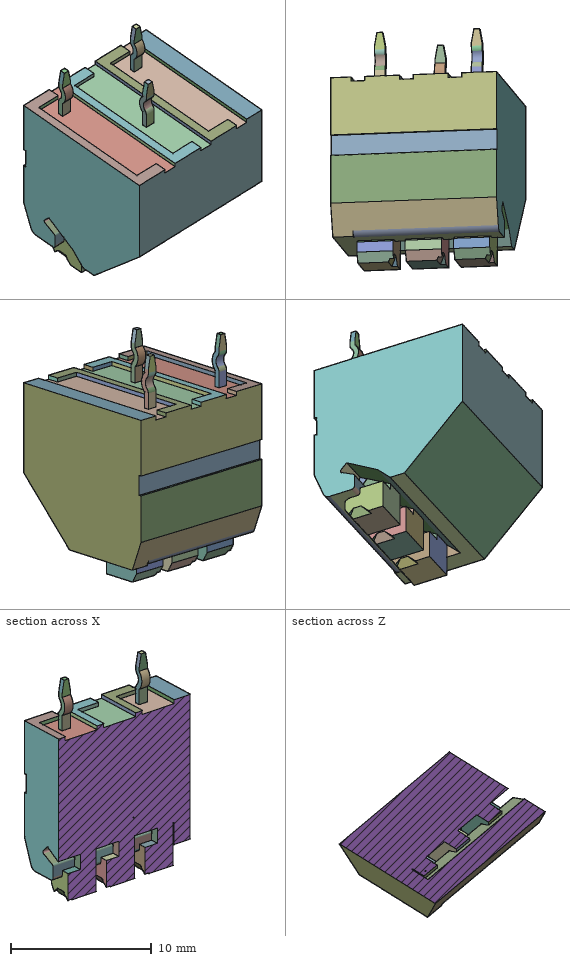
import cadquery as cq
import math


pole_count = 3
pole_pitch = 3.5
housing_width = 12.0
housing_length = 12.0
housing_height = 11.44
poles_length = pole_count * pole_pitch
corner_bevel_x = 0.89
corner_bevel_z = 2.29
corner_round = 0.58
side_bevel = 4.7
band_top = -4.18
band_bottom = -5.66
band_depth = 0.2

recess_depth = 0.3
recess_front_rim = 0.63
recess_side_rim = 0.92
recess_opening = 0.99

pin_height = 3.64
pin_thickness = 0.4
pin_width = 0.77
pin_tip_width = 0.4
pin_taper_height = 1.0
pin_y = 1.82
left_pin_x = 2.12
right_pin_x = 7.5
bend_z = 1.62
bend_outer_radius = 1.0
bend_inner_radius = bend_outer_radius - pin_thickness
bend_blend_radius = 0.5
bend_center_offset = 0.3

wall_x = 3.27
slot_floor_corner = (wall_x, -10.2)
slot_tip = (2.04, -9.59)
slot_peak = (2.64, -8.97)
slot_knee = (5.15, -10.42)
slot_mouth_x = slot_knee[0] + (slot_knee[1] + housing_height)
slot_heel_round = 0.25
slot_corner_round = 0.17
slot_tip_round = 0.15

clip_width = 2.6
clip_y = 0.85
clip_right_x = 5.11
clip_shoulder_z = -10.85
clip_hook_x = 2.04
clip_hook_z = -11.6
clip_hook_slope_x = 0.35
clip_drop = 1.62
clip_toe_x = 0.42
clip_toe_z = 0.72
clip_bottom_z = -housing_height - clip_drop

arm_setback = 1.12
arm_end_low = (2.72, -9.92)
arm_end_high = (3.19, -9.34)
nose_x = 2.54
nose_lean = 0.07

notch_height = 0.62
notch_top_left_x = 2.74
notch_top_width = 0.6
notch_depth = 0.4

overshoot = 0.84


def prism(points, y_start, y_end):
    """Closed XZ outline swept along Y."""
    outline = cq.Workplane("XZ", origin=(0, y_start, 0)).polyline(points).close()
    return outline.extrude(y_start - y_end)


def block(x_start, x_end, y_start, y_end, z_start, z_end):
    size = (x_end - x_start, y_end - y_start, z_end - z_start)
    return cq.Workplane("XY").box(*size, centered=False).translate((x_start, y_start, z_start))


def housing_section(y_start, y_end):
    bottom = -housing_height
    outline = [
        (0, 0),
        (housing_width, 0),
        (housing_width, bottom + side_bevel),
        (housing_width - side_bevel, bottom),
        (corner_bevel_x, bottom),
        (0, bottom + corner_bevel_z),
        (0, band_bottom),
        (band_depth, band_bottom),
        (band_depth, band_top),
        (0, band_top),
    ]
    return prism(outline, y_start, y_end)


slot_outline = [
    (wall_x, -housing_height),
    slot_floor_corner,
    slot_tip,
    slot_peak,
    slot_knee,
    (slot_mouth_x, -housing_height),
]


def slotted_housing():
    """Pole section with the rounded slot, closed by the plain end plate."""
    poles = housing_section(0, poles_length).cut(prism(slot_outline, 0, poles_length))

    def round_edge(body, point, radius):
        edge = cq.selectors.NearestToPointSelector((point[0], poles_length / 2, point[1]))
        return body.edges("|Y").edges(edge).fillet(radius)

    poles = round_edge(poles, (corner_bevel_x, -housing_height), corner_round)
    poles = round_edge(poles, (wall_x, -housing_height), slot_heel_round)
    poles = round_edge(poles, slot_floor_corner, slot_corner_round)
    poles = round_edge(poles, slot_tip, slot_tip_round)
    return poles.union(housing_section(poles_length, housing_length))


def top_recess():
    """Shallow recess of one pole, open to both sides along its rear edge."""
    inner = block(recess_side_rim, housing_width - recess_side_rim,
                  recess_front_rim, pole_pitch, -recess_depth, overshoot)
    opening = block(-overshoot, housing_width + overshoot,
                    pole_pitch - recess_opening, pole_pitch, -recess_depth, overshoot)
    return inner.union(opening)


def solder_pin():
    """Pin with its back face at X = 0, bulging towards +X, centred on Y = 0."""
    centers_distance = bend_inner_radius + bend_blend_radius
    blend_center_x = bend_blend_radius
    blend_dx = blend_center_x + bend_center_offset
    blend_dz = math.sqrt(centers_distance**2 - blend_dx**2)
    contact_ratio = bend_inner_radius / centers_distance
    contact_x = contact_ratio * blend_dx - bend_center_offset
    contact_dz = contact_ratio * blend_dz
    inner_apex_x = bend_inner_radius - bend_center_offset
    outer_apex_x = bend_outer_radius - bend_center_offset
    outer_dz = math.sqrt(bend_outer_radius**2 - (pin_thickness + bend_center_offset)**2)

    half_angle = math.atan2(blend_dz, blend_dx) / 2
    blend_x = blend_center_x - bend_blend_radius * math.cos(half_angle)
    blend_mid_dz = blend_dz - bend_blend_radius * math.sin(half_angle)

    strip = (
        cq.Workplane("XZ", origin=(0, pin_width / 2, 0))
        .moveTo(0, -recess_depth)
        .lineTo(0, bend_z - blend_dz)
        .threePointArc((blend_x, bend_z - blend_mid_dz), (contact_x, bend_z - contact_dz))
        .threePointArc((inner_apex_x, bend_z), (contact_x, bend_z + contact_dz))
        .threePointArc((blend_x, bend_z + blend_mid_dz), (0, bend_z + blend_dz))
        .lineTo(0, pin_height)
        .lineTo(pin_thickness, pin_height)
        .lineTo(pin_thickness, bend_z + outer_dz)
        .threePointArc((outer_apex_x, bend_z), (pin_thickness, bend_z - outer_dz))
        .lineTo(pin_thickness, -recess_depth)
        .close()
        .extrude(pin_width)
    )
    taper_z = pin_height - pin_taper_height
    front_shape = (
        cq.Workplane("YZ")
        .polyline([
            (-pin_width / 2, -recess_depth),
            (-pin_width / 2, taper_z),
            (-pin_tip_width / 2, pin_height),
            (pin_tip_width / 2, pin_height),
            (pin_width / 2, taper_z),
            (pin_width / 2, -recess_depth),
        ])
        .close()
        .extrude(outer_apex_x)
    )
    return strip.intersect(front_shape)


def foot_notch():
    """Trapezoidal notch whose inner end slopes back towards the clip bottom."""
    top_z = clip_bottom_z + notch_height
    trapezoid = prism([
        (notch_top_left_x, top_z),
        (notch_top_left_x + notch_top_width, top_z),
        (notch_top_left_x + notch_top_width + notch_height, clip_bottom_z),
        (notch_top_left_x - notch_height, clip_bottom_z),
    ], 0, notch_depth)
    slope = (
        cq.Workplane("YZ")
        .polyline([(0, top_z), (notch_depth, clip_bottom_z), (0, clip_bottom_z)])
        .close()
        .extrude(housing_width)
    )
    return trapezoid.intersect(slope)


def clip_arm():
    """Arm filling the slot height behind the clip shoulder, with a leaning nose."""
    arm = prism(slot_outline, arm_setback, clip_width)
    arm = arm.cut(block(0, nose_x, 0, pole_pitch, -housing_height, 0))
    arm = arm.cut(block(clip_right_x, slot_mouth_x, 0, pole_pitch, -housing_height, 0))

    end_run = arm_end_high[0] - arm_end_low[0]
    end_rise = arm_end_high[1] - arm_end_low[1]
    beyond_low = (arm_end_low[0] - end_run, arm_end_low[1] - end_rise)
    beyond_high = (arm_end_high[0] + end_run, arm_end_high[1] + end_rise)
    beside_end = prism(
        [beyond_low, beyond_high, (0, beyond_high[1]), (0, beyond_low[1])],
        0, pole_pitch)
    lean = (
        cq.Workplane("YZ")
        .polyline([
            (arm_setback, arm_end_low[1]),
            (arm_setback, slot_peak[1]),
            (arm_setback + nose_lean, slot_peak[1]),
        ])
        .close()
        .extrude(housing_width)
    )
    return arm.cut(beside_end.intersect(lean))


def push_clip():
    """Clip with its front face at Y = 0, its head filling the rounded heel of the slot."""
    bottom = -housing_height
    head = prism([
        (wall_x, clip_shoulder_z),
        (clip_right_x, clip_shoulder_z),
        (clip_right_x, clip_bottom_z),
        (clip_hook_x + clip_toe_x, clip_bottom_z),
        (clip_hook_x, clip_bottom_z + clip_toe_z),
        (clip_hook_x, clip_hook_z),
        (clip_hook_x + clip_hook_slope_x, bottom),
        (wall_x - slot_heel_round, bottom),
        (wall_x - slot_heel_round, bottom + slot_heel_round),
        (wall_x, bottom + slot_heel_round),
    ], 0, clip_width)
    return head.cut(foot_notch()).union(clip_arm())


body = slotted_housing()
left_pin = solder_pin().translate((left_pin_x, pin_y, 0))
right_pin = solder_pin().mirror("YZ").translate((right_pin_x, pin_y, 0))
clip = push_clip().translate((0, clip_y, 0))

for pole in range(pole_count):
    shift = (0, pole * pole_pitch, 0)
    pin = left_pin if pole % 2 == 0 else right_pin
    body = body.cut(top_recess().translate(shift))
    body = body.union(pin.translate(shift))
    body = body.union(clip.translate(shift))

result = body